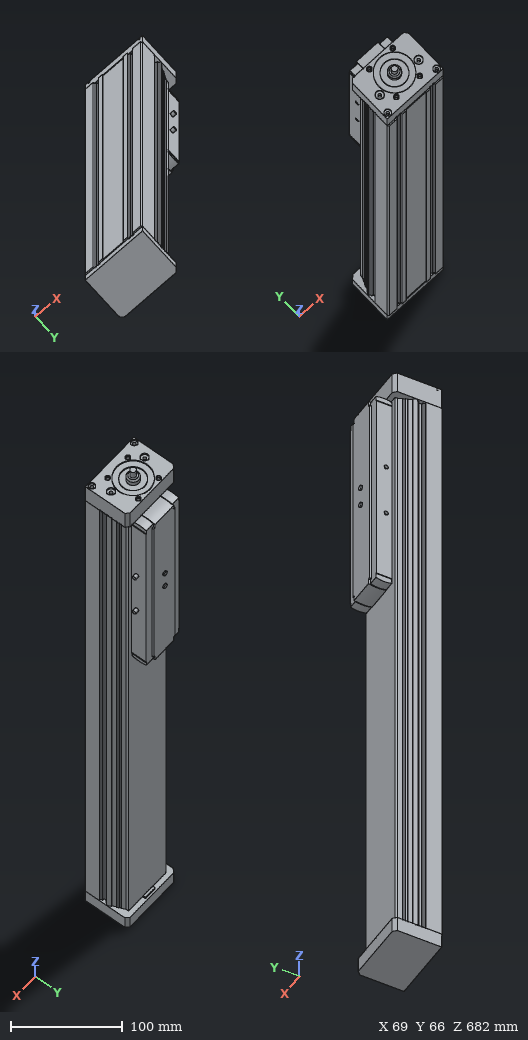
import cadquery as cq
import math

total_length = 682.0
width = 69.0
half_width = width / 2
lower_cap_top = 16.0
upper_cap_bottom = 646.5
upper_cap_top = 669.0
shaft_y = 28.5

rail_back = 45.0
rail_shoulder = 42.0
rail_edge_chamfer = 1.5
flank_start = 26.0
flank_angle = 25.5
side_slot_y = 22.0
side_slot_width = 8.0
side_slot_core_width = 4.0
front_slot_x = 20.5
front_slot_width = 6.0
front_slot_core_width = 2.0
slot_lip_depth = 2.0
slot_core_depth = 4.0
panel_width = 24.5
panel_depth = 1.0
flank_groove_depth = 1.0
flank_grooves = [(30.0, 34.0), (36.0, 38.0)]

cap_front = 1.5
cap_back = 50.5
cap_chamfer = 3.5
face_recess_diameter = 38.0
face_recess_depth = 1.5
bearing_seat_diameter = 26.0
bearing_seat_depth = 3.0
flange_hole_diameter = 5.0
flange_hole_x = 14.0
flange_hole_y = 18.0
side_screw_x = 24.0
side_screw_y = 22.5
side_screw_diameter = 8.0
corner_screw_x = 30.0
corner_screw_y = 5.5
corner_screw_diameter = 7.0
screw_core_diameter = 3.3
screw_head_depth = 2.0
screw_core_depth = 8.0
stop_width = 13.5
stop_height = 2.0
stop_front = 46.0
stop_back = 48.5

hub_diameter = 13.0
hub_top = 673.0
hub_chamfer = 1.7
hub_seat_depth = 7.0
journal_diameter = 6.0

carriage_width = 48.0
carriage_low = 430.5
carriage_high = 638.0
carriage_underside = 46.5
carriage_back = 63.0
ridge_width = 30.0
ridge_back = 65.0
foot_width = 41.0
end_plate_length = 6.0
end_plate_inset = 1.0
end_center_width = 26.5
end_center_extra = 1.0
end_arc_rise = 1.5
dowel_diameter = 4.9
dowel_back = 66.0
dowel_heights = [529.0, 550.0]
port_y = 52.5
port_heights = [507.0, 562.0]
port_diameter = 4.15
port_depth = 4.0
nipple_length = 4.0


def box(x_range, y_range, z_range):
    """Axis-aligned box given by its limits along X, Y and Z."""
    sizes = [high - low for low, high in (x_range, y_range, z_range)]
    corner = (x_range[0], y_range[0], z_range[0])
    return cq.Workplane("XY").box(*sizes, centered=False).translate(corner)


def centered_box(box_width, y_range, z_range):
    """Box that is symmetric about X = 0."""
    return box((-box_width / 2, box_width / 2), y_range, z_range)


def post(x, y, diameter, z_low, z_high):
    """Round post parallel to Z."""
    return cq.Workplane("XY", origin=(x, y, z_low)).circle(diameter / 2).extrude(z_high - z_low)


def flank_x(y):
    """X of the sloping right flank at a given Y."""
    return half_width - (y - flank_start) * math.tan(math.radians(flank_angle))


def flank_groove(start, end):
    """Shallow groove in the right flank, with its floor parallel to the flank."""
    cut_points = [
        (half_width, start),
        (flank_x(start) - flank_groove_depth, start),
        (flank_x(end) - flank_groove_depth, end),
        (half_width, end),
    ]
    groove = cq.Workplane("XY", origin=(0, 0, lower_cap_top)).polyline(cut_points).close()
    return groove.extrude(upper_cap_bottom - lower_cap_top)


def make_rail():
    z_range = (lower_cap_top, upper_cap_bottom)
    shoulder_x = flank_x(rail_shoulder)
    right_side = [
        (half_width - rail_edge_chamfer, 0),
        (half_width, rail_edge_chamfer),
        (half_width, flank_start),
        (shoulder_x, rail_shoulder),
        (shoulder_x, rail_back),
    ]
    left_side = [(-x, y) for x, y in reversed(right_side)]
    rail = (
        cq.Workplane("XY", origin=(0, 0, lower_cap_top))
        .polyline(right_side + left_side)
        .close()
        .extrude(upper_cap_bottom - lower_cap_top)
    )
    rail = rail.cut(centered_box(panel_width, (0, panel_depth), z_range))

    slot_steps = [
        (front_slot_width, side_slot_width, slot_lip_depth),
        (front_slot_core_width, side_slot_core_width, slot_core_depth),
    ]
    for front_step, side_step, depth in slot_steps:
        front_slot = centered_box(front_step, (0, depth), z_range).translate((front_slot_x, 0, 0))
        side_limits = (side_slot_y - side_step / 2, side_slot_y + side_step / 2)
        side_slot = box((half_width - depth, half_width), side_limits, z_range)
        for slot in (front_slot, side_slot):
            rail = rail.cut(slot).cut(slot.mirror("YZ"))

    for start, end in flank_grooves:
        groove = flank_groove(start, end)
        rail = rail.cut(groove).cut(groove.mirror("YZ"))
    return rail


def cap_block(z_low, z_high):
    block = centered_box(width, (cap_front, cap_back), (z_low, z_high))
    return block.edges("|Z and >Y").chamfer(cap_chamfer)


def make_lower_cap():
    stop = centered_box(stop_width, (stop_front, stop_back), (0, lower_cap_top + stop_height))
    return cap_block(0, lower_cap_top).union(stop)


def sunk(x, y, diameter, depth):
    """Round recess sunk into the top of the upper cap."""
    return post(x, y, diameter, upper_cap_top - depth, upper_cap_top)


def make_upper_cap():
    cap = cap_block(upper_cap_bottom, upper_cap_top)
    cap = cap.cut(sunk(0, shaft_y, face_recess_diameter, face_recess_depth))
    cap = cap.cut(sunk(0, shaft_y, bearing_seat_diameter, bearing_seat_depth))
    cap = cap.cut(sunk(0, shaft_y, hub_diameter, hub_seat_depth))
    screw_places = [
        (flange_hole_x, shaft_y - flange_hole_y, flange_hole_diameter),
        (flange_hole_x, shaft_y + flange_hole_y, flange_hole_diameter),
        (side_screw_x, side_screw_y, side_screw_diameter),
        (corner_screw_x, corner_screw_y, corner_screw_diameter),
    ]
    for x, y, head_diameter in screw_places:
        for side in (-1, 1):
            cap = cap.cut(sunk(side * x, y, head_diameter, screw_head_depth))
            cap = cap.cut(sunk(side * x, y, screw_core_diameter, screw_core_depth))
    return cap


def make_shaft():
    hub = post(0, shaft_y, hub_diameter, upper_cap_top - hub_seat_depth, hub_top)
    hub = hub.edges(">Z").chamfer(hub_chamfer)
    return hub.union(post(0, shaft_y, journal_diameter, hub_top, total_length))


def end_plate(plate_width, back, length):
    """Plate on the upper end of the carriage, with an outer face bowed across Y."""
    edge_z = carriage_high + length - end_arc_rise
    middle = ((carriage_underside + back) / 2, carriage_high + length)
    return (
        cq.Workplane("YZ", origin=(-plate_width / 2, 0, 0))
        .moveTo(carriage_underside, carriage_high)
        .lineTo(carriage_underside, edge_z)
        .threePointArc(middle, (back, edge_z))
        .lineTo(back, carriage_high)
        .close()
        .extrude(plate_width)
    )


def make_carriage():
    z_range = (carriage_low, carriage_high)
    body = centered_box(carriage_width, (carriage_underside, carriage_back), z_range)
    body = body.union(centered_box(ridge_width, (carriage_underside, ridge_back), z_range))
    body = body.union(centered_box(foot_width, (rail_back, carriage_underside), z_range))

    ends = end_plate(carriage_width - 2 * end_plate_inset, carriage_back, end_plate_length)
    ends = ends.union(end_plate(end_center_width, ridge_back, end_plate_length + end_center_extra))
    mid_height = (carriage_low + carriage_high) / 2
    body = body.union(ends).union(ends.mirror("XY", (0, 0, mid_height)))

    for z in dowel_heights:
        dowel = cq.Workplane("XZ", origin=(0, dowel_back, z)).circle(dowel_diameter / 2)
        body = body.union(dowel.extrude(dowel_back - carriage_back))

    for z in port_heights:
        port = cq.Workplane("YZ", origin=(-carriage_width / 2, port_y, z)).circle(port_diameter / 2)
        body = body.cut(port.extrude(port_depth))
        nipple = cq.Workplane("YZ", origin=(carriage_width / 2, port_y, z)).circle(port_diameter / 2)
        body = body.union(nipple.extrude(nipple_length))
    return body


rail = make_rail()
lower_cap = make_lower_cap()
upper_cap = make_upper_cap()
shaft = make_shaft()
carriage = make_carriage()

result = cq.Compound.makeCompound(
    [rail.val(), lower_cap.val(), upper_cap.val(), shaft.val(), carriage.val()]
)